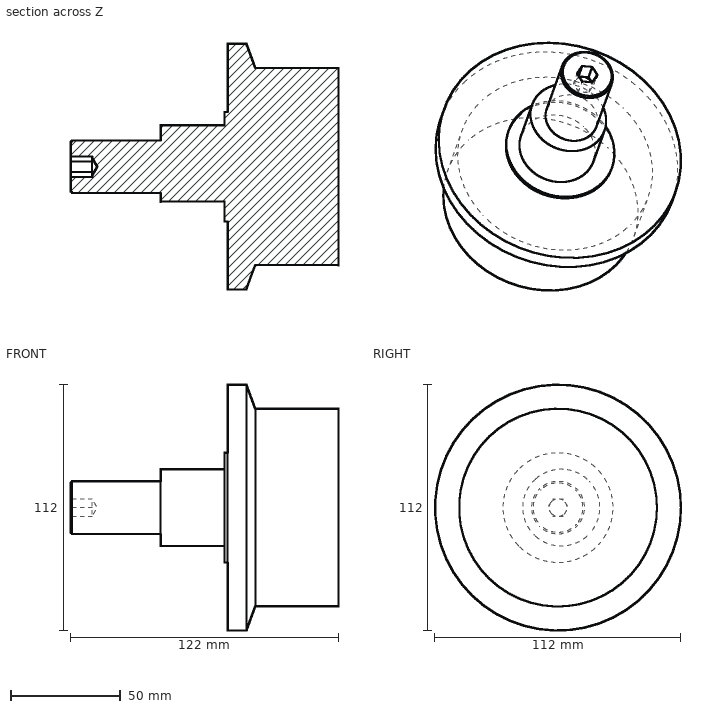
import cadquery as cq
import math

total_length = 122.0
shaft_end = 41.0
collar_end = 70.0
flange_start = 71.5
flange_rim_end = 80.0
tread_start = 84.0

shaft_diameter = 24.0
collar_diameter = 35.0
washer_diameter = 50.0
flange_diameter = 112.0
tread_diameter = 90.0

collar_offset = 1.5
shaft_chamfer = 0.7
hex_across_flats = 8.0
hex_depth = 9.8
drill_point_angle = 120.0

free_end = -total_length / 2


def section_at(distance, y=0):
    """YZ workplane at a distance from the free end, with its normal along +X."""
    return cq.Workplane("YZ", origin=(free_end + distance, y, 0))


def cylinder(start, end, diameter, y=0):
    return section_at(start, y).circle(diameter / 2).extrude(end - start)


def make_wheel():
    """Flanged wheel whose rim slopes down to the cylindrical tread."""
    profile = [
        (flange_start, 0),
        (flange_start, flange_diameter / 2),
        (flange_rim_end, flange_diameter / 2),
        (tread_start, tread_diameter / 2),
        (total_length, tread_diameter / 2),
        (total_length, 0),
    ]
    half_section = cq.Workplane("XY", origin=(free_end, 0, 0)).polyline(profile).close()
    return half_section.revolve(360, (0, 0, 0), (1, 0, 0))


def make_hex_socket():
    """Hexagonal socket, corners along Y, with a conical drill point at the bottom."""
    across_corners = hex_across_flats / math.cos(math.radians(30))
    socket = section_at(0).polygon(6, across_corners).extrude(hex_depth)
    cone_radius = hex_across_flats / 2
    cone_height = cone_radius / math.tan(math.radians(drill_point_angle / 2))
    drill_point = cq.Workplane(
        cq.Solid.makeCone(
            cone_radius, 0, cone_height, cq.Vector(free_end + hex_depth, 0, 0), cq.Vector(1, 0, 0)
        )
    )
    return socket.union(drill_point)


shaft = cylinder(0, shaft_end, shaft_diameter).faces("<X").chamfer(shaft_chamfer)
eccentric_collar = cylinder(shaft_end, collar_end, collar_diameter, collar_offset)
washer = cylinder(collar_end, flange_start, washer_diameter)

result = make_wheel().union(washer).union(eccentric_collar).union(shaft).cut(make_hex_socket())